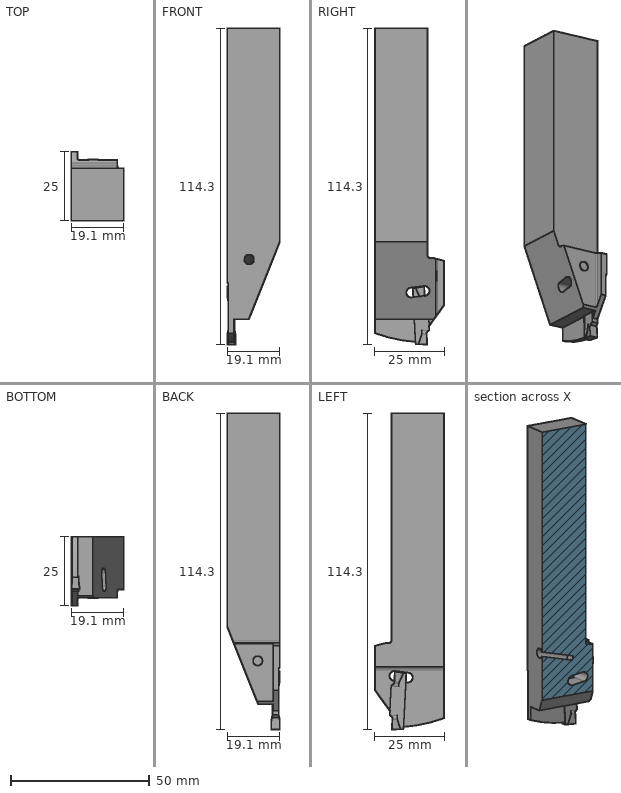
import cadquery as cq
import math

shank_size = 19.1
total_height = 114.3

head_depth = 25.0
shoulder_level = 31.3
shoulder_outer_level = 30.3
shoulder_flat_end = 21.0
shoulder_fillet = 0.8
jaw_corner_level = 14.3
jaw_tip = (19.8, 7.0)
support_front_level = 4.1
support_middle = (7.5, 2.0)
support_end = (14.7, 0.9)

taper_top_level = 37.1
taper_bottom_x = 7.9
blade_top_level = 9.1
blade_back_x = 2.4
blade_recess = 0.4
recess_top_level = 22.6
recess_ramp_depth = 0.17
recess_ramp_level = 22.3
recess_bottom_level = 21.6
back_step_y = 22.1
back_step_fillet = 0.5

screw_hole_x = 8.0
screw_hole_level = 30.7
screw_hole_radius = 1.7
screw_hole_tilt = 15.0
screw_hole_depth = 13.7
boss_height = 0.2

relief_radius = 1.7
relief_center = (15.5, 19.1)
relief_spacing = 4.9
relief_tilt = 7.0

insert_tilt = 3.0
insert_center_y = 16.8
insert_back_x = 2.7
insert_half_length = 10.5
insert_half_width = 2.6
insert_base_half_length = 10.2
cutting_edge_width = 1.6
rake_level = 6.2
land_end = 5.3
flare_width = 0.4
flare_root_width = -1.6
flare_neck = (-0.1, 6.4)
flare_ramp_slope = 0.22


def side_blank():
    """Shank, shoulder, jaw and curved support as one side profile."""
    flat_start = shank_size + shoulder_fillet
    arc_offset = shoulder_fillet * (1 - math.sqrt(0.5))
    return (
        cq.Workplane("YZ")
        .moveTo(0, total_height)
        .lineTo(0, support_front_level)
        .threePointArc(support_middle, support_end)
        .lineTo(*jaw_tip)
        .lineTo(head_depth, jaw_corner_level)
        .lineTo(head_depth, shoulder_outer_level)
        .lineTo(shoulder_flat_end, shoulder_level)
        .lineTo(flat_start, shoulder_level)
        .threePointArc(
            (shank_size + arc_offset, shoulder_level + arc_offset),
            (shank_size, shoulder_level + shoulder_fillet),
        )
        .lineTo(shank_size, total_height)
        .close()
        .extrude(shank_size)
    )


def front_outline():
    """Outline with the taper, the blade and the concave run-out of the blade recess."""
    run_out = recess_ramp_level - recess_bottom_level
    run_out_depth = blade_recess - recess_ramp_depth
    run_out_radius = (run_out_depth**2 + run_out**2) / (2 * run_out_depth)
    half_angle = math.asin(run_out / run_out_radius) / 2
    run_out_middle = (
        blade_recess - run_out_radius * (1 - math.cos(half_angle)),
        recess_bottom_level + run_out_radius * math.sin(half_angle),
    )
    return (
        cq.Workplane("XZ")
        .moveTo(0, total_height)
        .lineTo(0, recess_top_level)
        .lineTo(recess_ramp_depth, recess_ramp_level)
        .threePointArc(run_out_middle, (blade_recess, recess_bottom_level))
        .lineTo(blade_recess, 0)
        .lineTo(blade_back_x, 0)
        .lineTo(blade_back_x, blade_top_level)
        .lineTo(taper_bottom_x, blade_top_level)
        .lineTo(shank_size, taper_top_level)
        .lineTo(shank_size, total_height)
        .close()
        .extrude(-head_depth)
    )


def back_step():
    """Material removed behind the head so that only the blade reaches the full depth."""
    return (
        cq.Workplane("XY")
        .moveTo(blade_back_x, back_step_y)
        .rect(shank_size, head_depth, centered=False)
        .extrude(shoulder_level)
        .edges("|Z and <X and <Y")
        .fillet(back_step_fillet)
    )


def screw_hole():
    """Tilted cylinder that starts outside the front face and ends inside the head."""
    tilt = math.radians(screw_hole_tilt)
    axis = cq.Vector(0, math.cos(tilt), -math.sin(tilt))
    mouth = cq.Vector(screw_hole_x, 0, screw_hole_level)
    lead_in = 2 * screw_hole_radius
    length = lead_in + screw_hole_depth
    return cq.Workplane(cq.Solid.makeCylinder(screw_hole_radius, length, mouth - axis * lead_in, axis))


def back_boss():
    """Round boss where the axis of the screw hole meets the back step."""
    boss_level = screw_hole_level - back_step_y * math.tan(math.radians(screw_hole_tilt))
    return (
        cq.Workplane("XZ", origin=(screw_hole_x, back_step_y, boss_level))
        .circle(screw_hole_radius)
        .extrude(-boss_height)
    )


def relief_slot():
    """Slightly tilted round-ended slot through the whole head."""
    return (
        cq.Workplane("YZ")
        .center(*relief_center)
        .slot2D(relief_spacing + 2 * relief_radius, 2 * relief_radius, relief_tilt)
        .extrude(shank_size)
    )


def insert_body():
    """Bar flush with the recessed blade face, with a lowered rake at both ends."""
    outline = [
        (-insert_half_width, insert_base_half_length),
        (cutting_edge_width, insert_half_length),
        (cutting_edge_width, rake_level),
        (insert_half_width, land_end),
    ]
    mirrored = [(width, -level) for width, level in reversed(outline)]
    return (
        cq.Workplane("YZ", origin=(blade_recess, 0, 0))
        .polyline(outline + mirrored)
        .close()
        .extrude(insert_back_x - blade_recess)
    )


def flare():
    """Flare that widens the lower cutting end on the -X side.

    Its side face slopes back from the cutting edge, and a ramp joins it to the middle of the bar.
    """
    end_slope = (insert_half_length - insert_base_half_length) / (insert_half_width + cutting_edge_width)
    root_level = insert_half_length - end_slope * (cutting_edge_width - flare_root_width)
    neck_width, neck_level = flare_neck
    footprint = (
        cq.Workplane("YZ", origin=(blade_recess, 0, 0))
        .polyline(
            [
                (cutting_edge_width, -insert_half_length),
                (cutting_edge_width, -rake_level),
                (insert_half_width, -land_end),
                (neck_width, -land_end),
                (neck_width, -neck_level),
                (flare_root_width, -root_level),
            ]
        )
        .close()
        .extrude(-2 * flare_width)
    )
    relief_slope = flare_width / (cutting_edge_width - flare_root_width)
    relief_rise = relief_slope * (insert_half_width - flare_root_width)
    relief = (
        cq.Workplane("XY", origin=(0, 0, -insert_half_length))
        .moveTo(blade_recess, flare_root_width)
        .lineTo(blade_recess, insert_half_width)
        .lineTo(blade_recess - relief_rise, insert_half_width)
        .close()
        .extrude(insert_half_length)
    )
    ramp_rise = flare_ramp_slope * (insert_half_length - land_end)
    ramp = (
        cq.Workplane("XZ")
        .moveTo(blade_recess, -land_end)
        .lineTo(blade_recess, -insert_half_length)
        .lineTo(blade_recess - ramp_rise, -insert_half_length)
        .close()
        .extrude(insert_half_width, both=True)
    )
    return footprint.intersect(relief).intersect(ramp)


def make_insert():
    """Double-ended insert, tilted so that its lower cutting edge rests at zero height."""
    middle_x = (blade_recess + insert_back_x) / 2
    lower_left = flare()
    lower_right = lower_left.mirror("YZ", (middle_x, 0, 0))
    insert = insert_body()
    for lower_flare in (lower_left, lower_right):
        insert = insert.union(lower_flare).union(lower_flare.mirror("XY"))
    tilt = math.radians(insert_tilt)
    center_level = insert_half_length * math.cos(tilt) - cutting_edge_width * math.sin(tilt)
    return insert.rotate((0, 0, 0), (1, 0, 0), insert_tilt).translate((0, insert_center_y, center_level))


def make_holder(insert):
    """Tool holder with a pocket that matches the insert."""
    return (
        side_blank()
        .intersect(front_outline())
        .cut(back_step())
        .union(back_boss())
        .cut(screw_hole())
        .cut(relief_slot())
        .cut(insert)
    )


insert = make_insert()
holder = make_holder(insert)
result = cq.Compound.makeCompound([holder.val(), insert.val()])